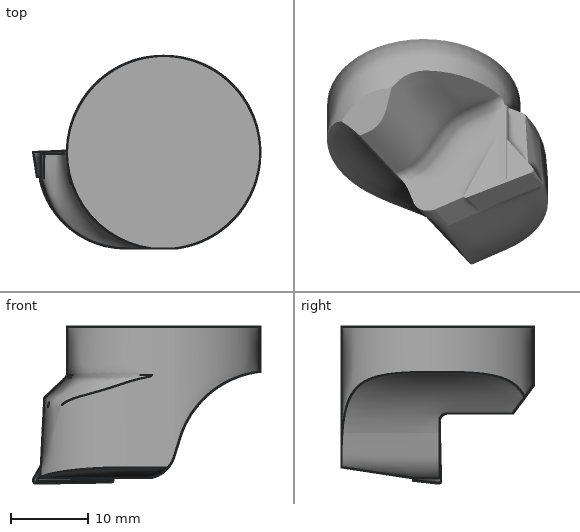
import cadquery as cq
import math

head_diameter = 25.0
head_radius = head_diameter / 2
width_over_flat = 24.9
flat_y = head_radius - width_over_flat
body_bottom_z = -19.55
select_slack = 0.3
margin = 5.87

lobe_radius = 11.45
lobe_center_x = -4.82
lobe_center_y = flat_y + lobe_radius
neck_bottom_z = -6.23
cone_top_radius = 12.65
cone_top_z = -6.58
cone_bottom_radius = 15.18
cone_bottom_z = -8.95
relief_top_radius = 15.85
relief_top_z = -10.35
relief_bottom_radius = 16.35
relief_bottom_z = -18.41

clearance_top_x = -15.42
clearance_top_z = -9.15
clearance_bottom_x = -15.95

wall_y = 0.25
gullet_ceiling_z = -5.55
gullet_slope_start_x = -5.0
gullet_slope_end_x = 0.15
gullet_floor_z = -11.22
gullet_blend_radius = 4.7
gullet_wall_fillet = 1.03
back_chamfer_top_z = -7.52
back_chamfer_foot_y = 9.72

heel_start_x = -1.75
heel_middle_x = 0.45
heel_middle_z = -18.35
heel_end_x = 1.47
heel_end_z = -16.45
relief_start_x = 2.32
relief_start_z = -13.75
relief_middle_x = 5.0
relief_middle_z = -9.5
relief_end_z = -5.82

bottom_bend_y = -3.23
bottom_front_z = -18.15

step_x = -12.85
step_top_z = -6.95
step_y = -0.18

insert_side = 11.0
insert_corner_angle = 60.0
insert_nose_radius = 0.4
insert_thickness = 3.23
insert_relief_angle = 6.5
insert_tip_x = -16.85
insert_tip_y = 0.05
insert_bottom_z = -20.27
insert_rake_angle = 2.2
insert_tilt_angle = 0.8


def make_head():
    head = cq.Workplane("XY").circle(head_radius).extrude(body_bottom_z)
    flat_cut = (
        cq.Workplane("XY")
        .box(2 * head_radius, margin, -2 * body_bottom_z)
        .translate((0, flat_y - margin / 2, 0))
    )
    return head.cut(flat_cut)


def make_lobe():
    lobe = (
        cq.Workplane("XY")
        .workplane(offset=body_bottom_z)
        .moveTo(0, flat_y)
        .lineTo(lobe_center_x, flat_y)
        .radiusArc((lobe_center_x - lobe_radius, lobe_center_y), lobe_radius)
        .lineTo(lobe_center_x - lobe_radius, wall_y)
        .lineTo(0, wall_y)
        .close()
        .extrude(-body_bottom_z)
    )
    envelope = (
        cq.Workplane("XZ")
        .lineTo(head_radius, 0)
        .lineTo(head_radius, neck_bottom_z)
        .tangentArcPoint((cone_top_radius, cone_top_z), relative=False)
        .lineTo(cone_bottom_radius, cone_bottom_z)
        .tangentArcPoint((relief_top_radius, relief_top_z), relative=False)
        .lineTo(relief_bottom_radius, relief_bottom_z)
        .lineTo(relief_bottom_radius, body_bottom_z)
        .lineTo(0, body_bottom_z)
        .close()
        .revolve(360, (0, 0, 0), (0, 1, 0))
    )
    return lobe.intersect(envelope)


def cut_along_y(profile):
    """Extrude an XZ profile right across the part in Y."""
    return profile.extrude(head_radius + margin, both=True)


def make_clearance_cut():
    outer_x = clearance_bottom_x - margin
    return cut_along_y(
        cq.Workplane("XZ")
        .moveTo(clearance_top_x, clearance_top_z)
        .lineTo(clearance_bottom_x, body_bottom_z)
        .lineTo(outer_x, body_bottom_z)
        .lineTo(outer_x, clearance_top_z)
        .close()
    )


def make_gullet_cut():
    left_x = -head_radius - margin
    right_x = head_radius + margin
    low_z = body_bottom_z - margin
    gullet = (
        cq.Workplane("XZ", origin=(0, wall_y, 0))
        .moveTo(left_x, low_z)
        .lineTo(left_x, gullet_ceiling_z)
        .lineTo(gullet_slope_start_x, gullet_ceiling_z)
        .lineTo(gullet_slope_end_x, gullet_floor_z)
        .lineTo(right_x, gullet_floor_z)
        .lineTo(right_x, low_z)
        .close()
        .extrude(-head_radius - margin)
    )
    slope_box = cq.selectors.BoxSelector(
        (gullet_slope_start_x - select_slack, wall_y, gullet_floor_z - select_slack),
        (gullet_slope_end_x + select_slack, head_radius + margin, gullet_ceiling_z + select_slack),
    )
    gullet = gullet.edges("|Y").edges(slope_box).fillet(gullet_blend_radius)
    wall_box = cq.selectors.BoxSelector(
        (left_x + select_slack, wall_y - select_slack, gullet_floor_z - select_slack),
        (right_x - select_slack, wall_y + select_slack, gullet_ceiling_z + select_slack),
    )
    return gullet.edges(wall_box).fillet(gullet_wall_fillet)


def make_back_chamfer_cut():
    outer_y = head_radius + margin
    return (
        cq.Workplane("YZ")
        .moveTo(head_radius, back_chamfer_top_z)
        .lineTo(back_chamfer_foot_y, gullet_floor_z)
        .lineTo(outer_y, gullet_floor_z)
        .lineTo(outer_y, back_chamfer_top_z)
        .close()
        .extrude(head_radius + margin, both=True)
    )


def make_heel_cut():
    outer_x = head_radius + margin
    return cut_along_y(
        cq.Workplane("XZ")
        .moveTo(heel_start_x, body_bottom_z)
        .threePointArc((heel_middle_x, heel_middle_z), (heel_end_x, heel_end_z))
        .lineTo(relief_start_x, relief_start_z)
        .threePointArc((relief_middle_x, relief_middle_z), (head_radius, relief_end_z))
        .lineTo(outer_x, relief_end_z)
        .lineTo(outer_x, body_bottom_z)
        .close()
    )


def make_underside_cut():
    return (
        cq.Workplane("YZ")
        .moveTo(bottom_bend_y, body_bottom_z)
        .lineTo(flat_y, bottom_front_z)
        .lineTo(flat_y, body_bottom_z)
        .close()
        .extrude(head_radius + margin, both=True)
    )


def make_step_cut():
    return cq.Workplane("XY").box(
        margin, wall_y - step_y, step_top_z - body_bottom_z, centered=False
    ).translate((step_x - margin, step_y, body_bottom_z))


def make_insert():
    corner_angle = math.radians(insert_corner_angle)
    corner_setback = insert_nose_radius * (1 / math.tan(corner_angle / 2) - 1)
    outline = (
        cq.Sketch()
        .polygon([
            (0, 0),
            (insert_side, 0),
            (insert_side / 2, insert_side * math.sin(corner_angle)),
            (0, 0),
        ])
        .vertices()
        .fillet(insert_nose_radius)
    )
    return (
        cq.Workplane("XZ")
        .placeSketch(outline)
        .extrude(insert_thickness, taper=insert_relief_angle)
        .rotate((0, 0, 0), (0, 1, 0), -insert_tilt_angle)
        .rotate((0, 0, 0), (0, 0, 1), insert_rake_angle)
        .translate((insert_tip_x - corner_setback, insert_tip_y, insert_bottom_z))
    )


insert = make_insert()

body = make_head().union(make_lobe())
for cutter in (
    make_clearance_cut(),
    make_gullet_cut(),
    make_back_chamfer_cut(),
    make_heel_cut(),
    make_underside_cut(),
    make_step_cut(),
    insert,
):
    body = body.cut(cutter)

result = cq.Compound.makeCompound([*body.vals(), insert.val()])